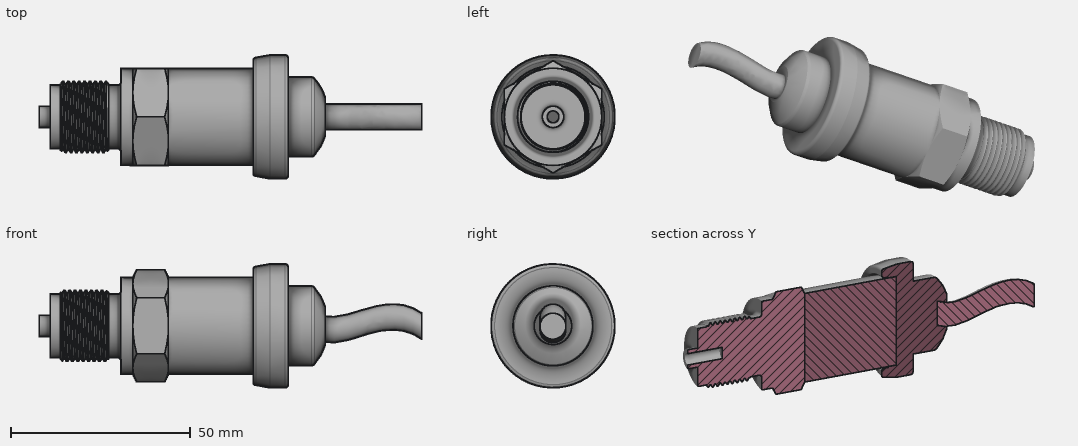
import cadquery as cq
import math

TOTAL_LENGTH = 106.5

NOZZLE_DIAMETER = 6.0
PORT_DIAMETER = 3.3
PORT_DEPTH = 10.6
STUD_START = 3.1
STUD_DIAMETER = 17.8
THREAD_START = 5.9
THREAD_END = 19.4
THREAD_DIAMETER = 19.8
THREAD_ROOT_DIAMETER = 18.1
THREAD_PITCH = 1.5
THREAD_ROOT_FLAT = 0.2
THREAD_FLANK_ANGLE = 30.0
THREAD_END_CHAMFER = 0.7
THREAD_FIRST_CREST = 7.0
GROOVE_CLEARANCE = 0.1
COLLAR_START = 22.8
COLLAR_DIAMETER = 27.0
STUD_FILLET = 0.9
HEX_START = 26.1
HEX_END = 36.0
HEX_ACROSS_FLATS = 27.0
HEX_CHAMFER_LENGTH = 1.1

SLEEVE_DIAMETER = 27.0

RIM_START = 59.5
RIM_TAPER_END = 64.2
RIM_END = 69.3
RIM_DIAMETER = 34.5
RIM_FRONT_DIAMETER = 32.8
RIM_FRONT_FILLET = 0.9
RIM_REAR_FILLET = 1.0
BORE_DIAMETER = 27.3
BORE_DEPTH = 2.1
BORE_MOUTH_DIAMETER = 28.5
BOSS_DIAMETER = 22.3
DOME_START = 76.1
DOME_END = 79.6
DOME_TIP_DIAMETER = 10.4
DOME_RADIUS = 13.8
DOME_FILLET = 1.2
EDGE_TOLERANCE = 0.1

CABLE_DIAMETER = 7.2
CABLE_SEAT_X = 76.7
CABLE_CENTRE_LINE = [
    (CABLE_SEAT_X, 0),
    (82.1, -1.1),
    (89.5, 0.7),
    (96.5, 2.3),
    (TOTAL_LENGTH, -0.1),
]



def cylinder(start, end, diameter):
    """Cylinder on the X axis between two X stations."""
    return cq.Workplane("YZ", origin=(start, 0, 0)).circle(diameter / 2).extrude(end - start)


def groove_turn():
    """One turn of the helical V groove, right-handed, on the Z axis, starting at +X and Z = 0."""
    root_radius = THREAD_ROOT_DIAMETER / 2
    mouth_radius = THREAD_DIAMETER / 2 + GROOVE_CLEARANCE
    half_root = THREAD_ROOT_FLAT / 2
    half_mouth = half_root + (mouth_radius - root_radius) * math.tan(math.radians(THREAD_FLANK_ANGLE))
    helix = cq.Wire.makeHelix(THREAD_PITCH, THREAD_PITCH, root_radius)
    return (
        cq.Workplane("XZ")
        .polyline([
            (root_radius, -half_root),
            (mouth_radius, -half_mouth),
            (mouth_radius, half_mouth),
            (root_radius, half_root),
        ])
        .close()
        .sweep(cq.Workplane(obj=helix), isFrenet=True)
    )


def threaded_section():
    """Thread with chamfered ends, its groove cut turn by turn past both ends."""
    thread = cylinder(THREAD_START, THREAD_END, THREAD_DIAMETER)
    thread = thread.faces("<X or >X").chamfer(THREAD_END_CHAMFER)
    turn = groove_turn().rotate((0, 0, 0), (0, 1, 0), 90)
    first_turn = THREAD_FIRST_CREST - 2 * THREAD_PITCH
    turn_count = math.ceil((THREAD_END - first_turn) / THREAD_PITCH) + 1
    for i in range(turn_count):
        thread = thread.cut(turn.translate((first_turn + i * THREAD_PITCH, 0, 0)))
    return thread


def hexagon():
    """Hexagon with corners toward +Z and -Z and both ends chamfered to its inscribed circle."""
    corner_radius = HEX_ACROSS_FLATS / math.sqrt(3)
    flat_radius = HEX_ACROSS_FLATS / 2
    corners = [
        (corner_radius * math.sin(math.radians(60 * i)), corner_radius * math.cos(math.radians(60 * i)))
        for i in range(6)
    ]
    prism = cq.Workplane("YZ", origin=(HEX_START, 0, 0)).polyline(corners).close()
    prism = prism.extrude(HEX_END - HEX_START)
    envelope = (
        cq.Workplane("XY")
        .moveTo(HEX_START, 0)
        .lineTo(HEX_START, flat_radius)
        .lineTo(HEX_START + HEX_CHAMFER_LENGTH, corner_radius)
        .lineTo(HEX_END - HEX_CHAMFER_LENGTH, corner_radius)
        .lineTo(HEX_END, flat_radius)
        .lineTo(HEX_END, 0)
        .close()
        .revolve(360, (0, 0, 0), (1, 0, 0))
    )
    return prism.intersect(envelope)


def make_fitting():
    """Process connection: nozzle with blind port, threaded stud, collar and hexagon."""
    threaded = threaded_section()
    collar = cylinder(COLLAR_START, HEX_START, COLLAR_DIAMETER)
    stud_radius = STUD_DIAMETER / 2
    stud = (
        cq.Workplane("XY")
        .moveTo(STUD_START, 0)
        .lineTo(STUD_START, stud_radius)
        .lineTo(COLLAR_START - STUD_FILLET, stud_radius)
        .radiusArc((COLLAR_START, stud_radius + STUD_FILLET), -STUD_FILLET)
        .lineTo(COLLAR_START, 0)
        .close()
        .revolve(360, (0, 0, 0), (1, 0, 0))
    )
    nozzle = cylinder(0, STUD_START, NOZZLE_DIAMETER)
    body = stud.union(threaded).union(collar).union(hexagon()).union(nozzle)
    return body.cut(cylinder(0, PORT_DEPTH, PORT_DIAMETER))


def make_sleeve():
    """Plain round housing between the hexagon and the shoulder inside the cap."""
    return cylinder(HEX_END, RIM_TAPER_END, SLEEVE_DIAMETER)


def make_cable():
    """Cable curving in the XZ plane, with every round section kept parallel to YZ."""
    centre_line = cq.Workplane("XZ").spline(CABLE_CENTRE_LINE)
    section = cq.Workplane("YZ", origin=(CABLE_SEAT_X, 0, 0)).circle(CABLE_DIAMETER / 2)
    return section.sweep(centre_line, normal=(1, 0, 0))


def make_cap(sleeve, cable):
    """Cap with tapered rim, boss and domed exit, hollowed to take the sleeve and the cable."""
    rim_radius = RIM_DIAMETER / 2
    boss_radius = BOSS_DIAMETER / 2
    dome_tip_radius = DOME_TIP_DIAMETER / 2
    cap = (
        cq.Workplane("XY")
        .moveTo(RIM_START, 0)
        .lineTo(RIM_START, RIM_FRONT_DIAMETER / 2)
        .lineTo(RIM_TAPER_END, rim_radius)
        .lineTo(RIM_END, rim_radius)
        .lineTo(RIM_END, boss_radius)
        .lineTo(DOME_START, boss_radius)
        .radiusArc((DOME_END, dome_tip_radius), DOME_RADIUS)
        .lineTo(DOME_END, 0)
        .close()
        .revolve(360, (0, 0, 0), (1, 0, 0))
    )

    def edge_at(station, radius):
        """Selector for the round edges at an X station, up to the given radius."""
        return cq.selectors.BoxSelector(
            (station - EDGE_TOLERANCE, -radius - EDGE_TOLERANCE, -radius - EDGE_TOLERANCE),
            (station + EDGE_TOLERANCE, radius + EDGE_TOLERANCE, radius + EDGE_TOLERANCE),
            boundingbox=True,
        )

    cap = cap.edges(edge_at(RIM_START, RIM_FRONT_DIAMETER / 2)).fillet(RIM_FRONT_FILLET)
    rear_rim_edge = edge_at(RIM_END, rim_radius) - edge_at(RIM_END, boss_radius)
    cap = cap.edges(rear_rim_edge).fillet(RIM_REAR_FILLET)
    cap = cap.edges(edge_at(DOME_START, boss_radius)).fillet(DOME_FILLET)

    bore_radius = BORE_DIAMETER / 2
    mouth_radius = BORE_MOUTH_DIAMETER / 2
    bore = (
        cq.Workplane("XY")
        .moveTo(RIM_START, 0)
        .lineTo(RIM_START, mouth_radius)
        .lineTo(RIM_START + mouth_radius - bore_radius, bore_radius)
        .lineTo(RIM_START + BORE_DEPTH, bore_radius)
        .lineTo(RIM_START + BORE_DEPTH, 0)
        .close()
        .revolve(360, (0, 0, 0), (1, 0, 0))
    )
    return cap.cut(bore).cut(sleeve).cut(cable)


fitting = make_fitting()
sleeve = make_sleeve()
cable = make_cable()
cap = make_cap(sleeve, cable)

result = cq.Compound.makeCompound([fitting.val(), sleeve.val(), cap.val(), cable.val()])